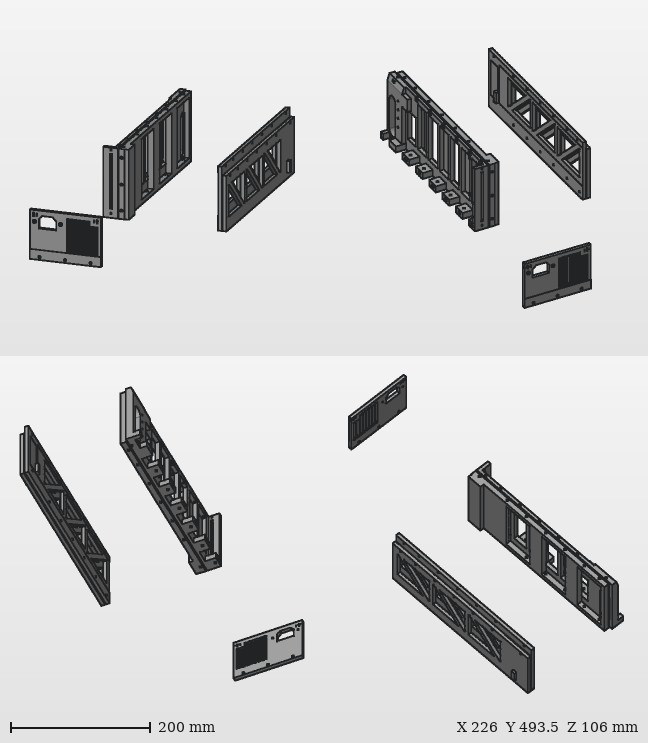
import cadquery as cq
import math

overall_length = 493.5
wall_length = 282.0
wall_front = overall_length - wall_length
bay_pitch = 74.0
groove_inset = 1.5

end_width = 108.0
end_height = 74.5
end_thickness = 6.0
sill_height = 15.5
sill_proud = 0.5
socket_left, socket_right = 13.5, 40.0
socket_bottom, socket_top = 47.5, 66.5
socket_corner = 5.5
socket_screw_offset = 20.0
socket_screw_height = 57.5
socket_screw_diameter = 2.5
socket_head_diameter, socket_head_depth = 5.0, 2.0
sill_hole_first = 15.0
sill_hole_pitch = 39.0
sill_hole_count = 3
sill_hole_height = 4.5
sill_hole_diameter = 3.5
vent_count = 8
vent_first = 56.5
vent_pitch = 6.15
vent_width = 4.0
vent_bottom = 18.0
vent_top = 66.5
short_vent_top = 59.0
short_vent_count = 2
side_screw_height = 67.5
side_screw_diameter = 3.0
side_screw_depth = 10.0
side_nut_offset, side_nut_width, side_nut_height = 5.5, 1.5, 5.5
side_stop_offset, side_stop_width, side_stop_height = 10.5, 0.5, 3.5
side_slot_depth = 4.5

frame_height = 106.0
foot_face = 34.0
cover_face = 44.5
plate_face = 51.0
plate_back = 56.5
box_face = 58.0
box_back = 66.5
stand_back = 73.0
box_rear = 488.5
end_wall_thickness = 6.0
stand_length = 25.5
stand_setback = 0.5
cover_length = 44.0
cover_shoulder = 95.5
cover_slope_run = 3.5
cover_tab_front, cover_tab_bottom = 434.0, 74.0
block_height = 10.5
block_width = 20.0
block_pitch = 40.0
block_middle = 419.0
screwed_block_count = 5
block_screw_x = 42.0
rear_block_width = 7.0
front_block_width = 18.5
front_block_screw_x, front_block_screw_y = 39.0, 221.0
top_screw_x = 54.0
rear_screw_y, front_screw_y = 478.5, 228.0
screw_diameter = 3.5
screw_depth = 8.0
nut_across_flats = 6.5
nut_thickness = 3.0
nut_depth = 5.2
cable_slot_front, cable_slot_rear = 469.5, 487.0
cable_slot_bottom, cable_slot_top = 8.0, 76.0
cable_slot_step = 1.5
cable_slot_shelf, cable_slot_back = 55.5, 59.0
cover_pin_y, cover_pin_z, cover_pin_pitch = 462.0, 32.5, 15.0
cover_pin_count = 4
cover_pin_diameter = 2.5
window_bottom, window_top = 20.5, 97.0
small_window_top = 70.0
small_window = (420.5, 445.0)
tall_windows = [(388.0, 414.5), (355.0, 382.0), (322.5, 348.5), (291.2, 316.5), (258.0, 284.0), (225.5, 252.3)]
opening_count = 3
opening_front = 432.0
opening_length = 49.5
opening_bottom, opening_top = 7.5, 98.5
dowel_diameter, dowel_depth = 6.5, 1.0
dowel_places = [(y, z) for y in (419.5, 271.0) for z in (21.0, 85.0)]
box_screw_x = 61.0
box_screw_places = [472.5] + [441.0 - block_pitch * i for i in range(5)] + [222.5]
end_screw_heights = (13.0, 52.5, 93.0)
end_screw_x = 62.0
end_screw_depth = 10.0
end_slot_left, end_slot_right = 44.5, 48.0
end_slot_bottom, end_slot_top = 14.0, 97.0
end_pin_x = 46.0
end_pin_diameter = 2.5
end_pin_heights = (7.0, 102.5)

lug_left = 205.0
lug_right = 226.0
inner_face, inner_back = 209.5, 215.0
outer_face, outer_back = 216.0, 222.0
inner_height = 97.2
plate_drop = 13.5
bay_count = 3
bay_rear = 436.5
bay_length = 66.5
bay_bottom, bay_top = 32.5, 80.5
brace_run = 51.5
core_clearance = 2.5
brace_flat = 2.0
lug_front, lug_rear = 463.0, 469.5
lug_bottom, lug_top = 22.5, 40.5
relief_depth = 0.25
relief_bottom = 22.5
long_relief_rear, long_relief_top = 461.5, 88.0
short_relief_front, short_relief_rear, short_relief_top = 466.0, 486.5, 82.0
panel_hole_diameter = 3.0
panel_top_hole_z = 93.5
panel_bottom_hole_z = 10.0
panel_rear_hole_z = 17.0
panel_front_hole_y, panel_front_hole_z = 221.5, 8.0


def block(x0, x1, y0, y1, z0, z1):
    return cq.Workplane("XY").box(x1 - x0, y1 - y0, z1 - z0, centered=False).translate((x0, y0, z0))


def rod_x(x0, x1, y, z, diameter):
    return cq.Workplane("YZ").center(y, z).circle(diameter / 2).extrude(x1 - x0).translate((x0, 0, 0))


def rod_y(y0, y1, x, z, diameter):
    return cq.Workplane("XZ").center(x, z).circle(diameter / 2).extrude(y0 - y1).translate((0, y0, 0))


def rod_z(z0, z1, x, y, diameter):
    return cq.Workplane("XY").center(x, y).circle(diameter / 2).extrude(z1 - z0).translate((0, 0, z0))


def upright_slot(x0, x1, y0, y1, z0, z1):
    """Slot along X with round upper and lower ends."""
    outline = cq.Workplane("YZ").center((y0 + y1) / 2, (z0 + z1) / 2).slot2D(z1 - z0, y1 - y0, 90)
    return outline.extrude(x1 - x0).translate((x0, 0, 0))


def nut_slot(face_x, screw_x, y, z):
    """Slot for a hexagon nut pushed in along X, ending in two flats of the nut."""
    half = nut_across_flats / 2
    shoulder = screw_x + half * math.tan(math.radians(30))
    tip = screw_x + half / math.cos(math.radians(30))
    outline = [(face_x, y - half), (shoulder, y - half), (tip, y), (shoulder, y + half), (face_x, y + half)]
    slot = cq.Workplane("XY").polyline(outline).close().extrude(nut_thickness)
    return slot.translate((0, 0, z - nut_thickness / 2))


def make_end_panel():
    panel = block(0, end_width, sill_proud, end_thickness, 0, end_height)
    panel = panel.union(block(0, end_width, 0, end_thickness, 0, sill_height))

    socket = block(socket_left, socket_right, 0, end_thickness, socket_bottom, socket_top)
    panel = panel.cut(socket.edges("|Y and >Z").chamfer(socket_corner))
    socket_middle = (socket_left + socket_right) / 2
    head_floor = sill_proud + socket_head_depth
    for x in (socket_middle - socket_screw_offset, socket_middle + socket_screw_offset):
        panel = panel.cut(rod_y(0, end_thickness, x, socket_screw_height, socket_screw_diameter))
        panel = panel.cut(rod_y(0, head_floor, x, socket_screw_height, socket_head_diameter))

    for i in range(sill_hole_count):
        x = sill_hole_first + i * sill_hole_pitch
        panel = panel.cut(rod_y(0, end_thickness, x, sill_hole_height, sill_hole_diameter))

    for i in range(vent_count):
        x = vent_first + i * vent_pitch
        top = vent_top if i < vent_count - short_vent_count else short_vent_top
        panel = panel.cut(block(x, x + vent_width, 0, end_thickness, vent_bottom, top))

    fixing = side_fixing()
    panel = panel.cut(fixing)
    return panel.cut(fixing.mirror("YZ").translate((end_width, 0, 0)))


def side_fixing():
    """Screw hole in the left end with its nut slot and a narrow slot behind it."""
    middle_y = (sill_proud + end_thickness) / 2
    fixing = cq.Workplane("YZ").center(middle_y, side_screw_height).circle(side_screw_diameter / 2)
    fixing = fixing.extrude(side_screw_depth)
    for offset, width, height in (
        (side_nut_offset, side_nut_width, side_nut_height),
        (side_stop_offset, side_stop_width, side_stop_height),
    ):
        fixing = fixing.union(
            block(
                offset - width / 2, offset + width / 2, 0, side_slot_depth,
                side_screw_height - height / 2, side_screw_height + height / 2,
            )
        )
    return fixing


screwed_blocks = [block_middle - i * block_pitch for i in range(screwed_block_count)]
cover_front = overall_length - cover_length


def make_frame():
    frame = block(plate_face, plate_back, wall_front, overall_length, 0, frame_height)
    frame = frame.union(frame_core())
    frame = frame.union(frame_box())
    frame = frame.union(cover())
    end_wall_back = wall_front + end_wall_thickness
    frame = frame.union(block(foot_face, plate_back, wall_front, end_wall_back, 0, frame_height))
    for y0, y1 in block_spans():
        frame = frame.union(block(foot_face, plate_back, y0, y1, 0, block_height))

    frame = frame.cut(block(plate_face, box_face, *small_window, window_bottom, small_window_top))
    for y0, y1 in tall_windows:
        frame = frame.cut(block(plate_face, box_face, y0, y1, window_bottom, window_top))
    frame = cut_cable_slot(frame)
    for i in range(cover_pin_count):
        z = cover_pin_z + i * cover_pin_pitch
        frame = frame.cut(rod_x(cover_face, plate_face, cover_pin_y, z, cover_pin_diameter))
    frame = cut_frame_screws(frame)
    return cut_end_wall(frame)


def block_spans():
    """Y ranges of the mounting blocks along the bottom edge."""
    middles = [block_middle + block_pitch] + screwed_blocks
    spans = [(y - block_width / 2, y + block_width / 2) for y in middles]
    spans.append((overall_length - rear_block_width, overall_length))
    spans.append((wall_front, wall_front + front_block_width))
    return spans


def frame_core():
    """Inset layer that leaves a groove between the plate and the box."""
    return block(
        plate_back, box_face, wall_front + groove_inset, box_rear - groove_inset,
        groove_inset, frame_height - groove_inset,
    )


def frame_box():
    """Back layer with three large openings, and the thicker stand at its front end."""
    box = block(box_face, box_back, wall_front, box_rear, 0, frame_height)
    for i in range(opening_count):
        y = opening_front - i * bay_pitch
        box = box.cut(block(box_face, box_back, y, y + opening_length, opening_bottom, opening_top))
    for y, z in dowel_places:
        box = box.cut(rod_x(box_face, box_face + dowel_depth, y, z, dowel_diameter))
    stand_front = wall_front + stand_setback
    stand = block(box_back, stand_back, stand_front, wall_front + stand_length, 0, frame_height)
    return box.union(stand)


def cover():
    """Raised cover at the rear, with a sloped top and a tab toward the front."""
    section = [
        (cover_face, 0), (cover_face, cover_shoulder), (cover_face + cover_slope_run, frame_height),
        (plate_back, frame_height), (plate_back, 0),
    ]
    body = cq.Workplane("XZ").polyline(section).close().extrude(-cover_length).translate((0, cover_front, 0))
    tab = block(cover_face, plate_back, cover_tab_front, cover_front, cover_tab_bottom, cover_shoulder)
    return body.union(tab)


def cut_cable_slot(frame):
    slot = upright_slot(
        cover_face, cable_slot_shelf, cable_slot_front, cable_slot_rear, cable_slot_bottom, cable_slot_top
    )
    inner_slot = upright_slot(
        cable_slot_shelf, cable_slot_back, cable_slot_front, cable_slot_rear - cable_slot_step,
        cable_slot_bottom, cable_slot_top,
    )
    return frame.cut(slot).cut(inner_slot)


def cut_frame_screws(frame):
    """Vertical screw holes, with nut slots that open in the front faces."""
    top_nut_z = frame_height - nut_depth
    for y in [rear_screw_y] + screwed_blocks + [front_screw_y]:
        frame = frame.cut(rod_z(frame_height - screw_depth, frame_height, top_screw_x, y, screw_diameter))
        frame = frame.cut(nut_slot(cover_face, top_screw_x, y, top_nut_z))

    frame = frame.cut(rod_z(0, screw_depth, top_screw_x, rear_screw_y, screw_diameter))
    frame = frame.cut(nut_slot(cover_face, top_screw_x, rear_screw_y, nut_depth))
    block_screws = [(block_screw_x, y) for y in screwed_blocks] + [(front_block_screw_x, front_block_screw_y)]
    for x, y in block_screws:
        frame = frame.cut(rod_z(0, block_height, x, y, screw_diameter))
        frame = frame.cut(nut_slot(foot_face, x, y, nut_depth))

    for y in box_screw_places:
        frame = frame.cut(rod_z(0, frame_height, box_screw_x, y, screw_diameter))
    return frame


def cut_end_wall(frame):
    end_wall_back = wall_front + end_wall_thickness
    frame = frame.cut(
        block(end_slot_left, end_slot_right, wall_front, end_wall_back, end_slot_bottom, end_slot_top)
    )
    for z in end_pin_heights:
        frame = frame.cut(rod_y(wall_front, end_wall_back, end_pin_x, z, end_pin_diameter))
    for z in end_screw_heights:
        frame = frame.cut(rod_y(wall_front, wall_front + end_screw_depth, end_screw_x, z, screw_diameter))
    return frame


def make_side_panel():
    outer_height = inner_height - plate_drop
    panel = block(inner_face, inner_back, wall_front, overall_length, 0, inner_height)
    panel = panel.union(block(outer_face, outer_back, wall_front, overall_length, 0, outer_height))
    panel = panel.cut(bay_openings(inner_face, inner_back, 0))
    panel = panel.cut(bay_openings(outer_face, outer_back, plate_drop))
    panel = panel.union(panel_core(outer_height))

    relief_back = inner_face + relief_depth
    panel = panel.cut(
        block(inner_face, relief_back, wall_front, long_relief_rear, relief_bottom, long_relief_top)
    )
    panel = panel.cut(
        block(
            inner_face, relief_back, short_relief_front, short_relief_rear,
            relief_bottom, short_relief_top,
        )
    )
    panel = panel.union(block(lug_left, inner_back, lug_front, lug_rear, lug_bottom, lug_top))
    panel = panel.union(
        block(outer_face, lug_right, lug_front, lug_rear, lug_bottom - plate_drop, lug_top - plate_drop)
    )
    return cut_panel_holes(panel)


def panel_core(outer_height):
    """Inset layer between the plates, set back from the bays of both of them."""
    core = block(
        inner_back, outer_face, wall_front + groove_inset, overall_length - groove_inset,
        groove_inset, outer_height - groove_inset,
    )
    for i in range(bay_count):
        rear = bay_rear - i * bay_pitch
        core = core.cut(
            block(
                inner_back, outer_face, rear - bay_length - core_clearance, rear + core_clearance,
                bay_bottom - plate_drop - core_clearance, bay_top + core_clearance,
            )
        )
    return core


def bay_openings(x0, x1, drop):
    """The two openings of every bay, either side of a slanting brace."""
    openings = cq.Workplane("XY")
    for i in range(bay_count):
        rear = bay_rear - i * bay_pitch
        front = rear - bay_length
        rear_corners = [
            (rear, bay_bottom), (rear, bay_top),
            (rear - brace_flat - brace_run, bay_top), (rear - brace_flat, bay_bottom),
        ]
        front_corners = [
            (front, bay_top), (front, bay_bottom),
            (front + brace_flat + brace_run, bay_bottom), (front + brace_flat, bay_top),
        ]
        for corners in (rear_corners, front_corners):
            opening = cq.Workplane("YZ").polyline(corners).close().extrude(x1 - x0)
            openings = openings.add(opening.translate((x0, 0, -drop)))
    return openings.combine()


def cut_panel_holes(panel):
    upper = [(y, panel_top_hole_z) for y in [rear_screw_y] + screwed_blocks + [front_screw_y]]
    lower = [(rear_screw_y, panel_rear_hole_z)] + [(y, panel_bottom_hole_z) for y in screwed_blocks]
    lower.append((panel_front_hole_y, panel_front_hole_z))
    for y, z in upper + lower:
        panel = panel.cut(rod_x(inner_face, inner_back, y, z, panel_hole_diameter))
    for y, z in upper:
        panel = panel.cut(rod_x(outer_face, outer_back, y, z - plate_drop, panel_hole_diameter))
    return panel


end_panel = make_end_panel()
frame = make_frame()
side_panel = make_side_panel()

result = cq.Compound.makeCompound([end_panel.val(), frame.val(), side_panel.val()])